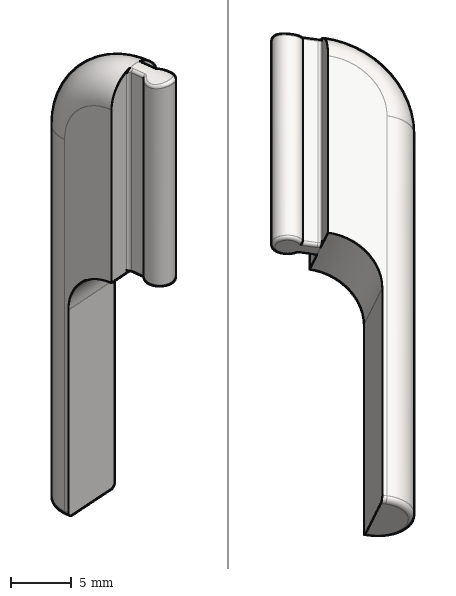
import cadquery as cq
import math

body_width = 6.0
body_depth = 8.0
body_height = 45.0
back_radius = body_width / 2
bend_radius = body_depth
bend_angle = 90.0
bend_start = body_height - bend_radius
stem_depth = 3.4
relief_radius = body_depth - stem_depth
bottom_fillet = 0.5

rail_length = 20.0
rail_bottom = body_height - rail_length
total_depth = 12.0
bead_radius = 1.35
bead_center = total_depth - bead_radius
neck_width = 1.6
neck_root_fillet = 0.3
rail_tail = 0.5
rail_end_fillet = 0.3


def body_section(base_height):
    """D-shaped section: round at the back (X = 0), flat at the front."""
    return (
        cq.Workplane("XY", origin=(0, 0, base_height))
        .moveTo(body_depth, -back_radius)
        .lineTo(back_radius, -back_radius)
        .threePointArc((0, 0), (back_radius, back_radius))
        .lineTo(body_depth, back_radius)
        .close()
    )


def front_relief():
    """Space in front of the stem, rounded up to the bottom of the rail."""
    arc_center_height = rail_bottom - relief_radius
    arc_offset = relief_radius * math.sqrt(0.5)
    return (
        cq.Workplane("XZ")
        .moveTo(stem_depth, 0)
        .lineTo(stem_depth, arc_center_height)
        .threePointArc(
            (body_depth - arc_offset, arc_center_height + arc_offset),
            (body_depth, rail_bottom),
        )
        .lineTo(body_depth, 0)
        .close()
        .extrude(back_radius, both=True)
    )


def make_body():
    """Straight column plus quarter-turn bend, relieved in front and rounded at the bottom."""
    column = body_section(0).extrude(bend_start).faces("<Z").edges("not >X").fillet(bottom_fillet)
    bend = body_section(bend_start).revolve(bend_angle, (body_depth, 0, 0), (body_depth, 1, 0))
    return column.union(bend).cut(front_relief())


def rail_outline():
    """Closed outline of neck and bead, with a tail that reaches back inside the body."""
    half_neck = neck_width / 2
    bead_start = bead_center - math.sqrt(bead_radius**2 - half_neck**2)
    tail_end = body_depth - rail_tail
    root_half_width = half_neck + neck_root_fillet
    root_end = body_depth + neck_root_fillet
    root_mid_offset = neck_root_fillet * (1 - math.sqrt(0.5))
    root_mid_x = body_depth + root_mid_offset
    root_mid_y = half_neck + root_mid_offset
    return (
        cq.Workplane("XY", origin=(0, 0, rail_bottom))
        .moveTo(tail_end, -root_half_width)
        .lineTo(body_depth, -root_half_width)
        .threePointArc((root_mid_x, -root_mid_y), (root_end, -half_neck))
        .lineTo(bead_start, -half_neck)
        .threePointArc((total_depth, 0), (bead_start, half_neck))
        .lineTo(root_end, half_neck)
        .threePointArc((root_mid_x, root_mid_y), (body_depth, root_half_width))
        .lineTo(tail_end, root_half_width)
        .close()
    )


def rail_crown():
    """Round-topped envelope that carries the top of the body on over the rail."""
    crown_center = body_height - back_radius
    return (
        cq.Workplane("YZ")
        .moveTo(-back_radius, rail_bottom)
        .lineTo(-back_radius, crown_center)
        .threePointArc((0, body_height), (back_radius, crown_center))
        .lineTo(back_radius, rail_bottom)
        .close()
        .extrude(total_depth)
    )


def make_rail():
    """Neck and bead, flared at the neck root, crowned on top and rounded around both ends."""
    rail = rail_outline().extrude(rail_length).intersect(rail_crown())
    for end_face in ("<Z", ">Z"):
        rail = rail.faces(end_face).edges("not <X").fillet(rail_end_fillet)
    behind_front_face = cq.Workplane("XY").box(
        body_depth, body_width, body_height, centered=(False, True, False)
    )
    return rail.cut(behind_front_face)


result = make_body().union(make_rail())